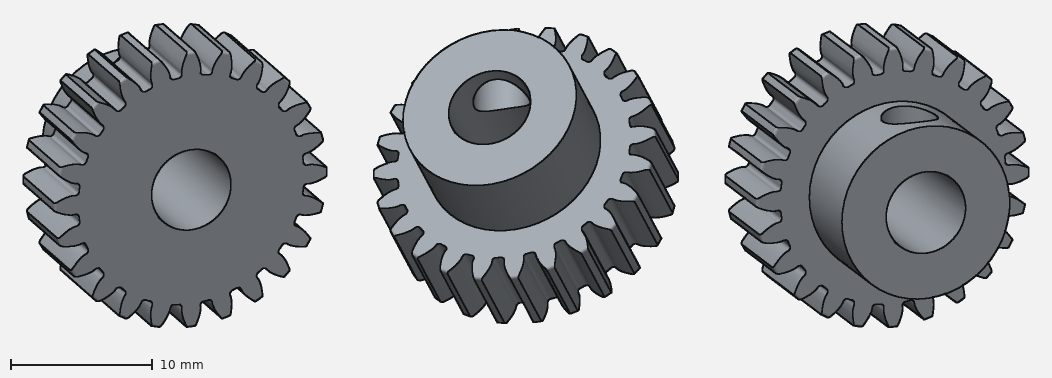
import cadquery as cq
import math


outside_diameter = 20.65
tooth_count = 24
pressure_angle = math.radians(20)
dedendum_factor = 1.25
total_length = 12.7
hub_diameter = 12.7
bore_diameter = 6.0
cross_hole_diameter = 4.02
tip_fillet = 0.2
root_fillet = 0.27
flank_steps = 6

module = outside_diameter / (tooth_count + 2)
tip_radius = outside_diameter / 2
pitch_radius = module * tooth_count / 2
base_radius = pitch_radius * math.cos(pressure_angle)
root_radius = pitch_radius - dedendum_factor * module
tooth_step = 2 * math.pi / tooth_count

hub_length = total_length / 2
face_width = total_length - hub_length

base_half_angle = math.pi / (2 * tooth_count) + math.tan(pressure_angle) - pressure_angle
tip_roll = math.sqrt((tip_radius / base_radius) ** 2 - 1)


def polar(radius, angle):
    return radius * math.cos(angle), radius * math.sin(angle)


def flank_point(roll):
    """Point on the involute flank of the tooth centred on the Y axis."""
    return polar(base_radius * math.hypot(1, roll), base_half_angle - roll + math.atan(roll))


def flank_direction(roll):
    """Unit tangent of that flank, pointing outward."""
    return polar(1, base_half_angle - roll)


def tooth_gap():
    """Prism filling one gap, with radial flanks below the base circle and a rounded root."""
    rolls = [tip_roll * i / flank_steps for i in range(flank_steps + 1)]
    flank = [flank_point(roll) for roll in rolls]
    tip_half_angle = math.atan2(flank[-1][1], flank[-1][0])
    clear_radius = tip_radius + module

    half_gap = (
        cq.Workplane("YZ")
        .moveTo(*polar(root_radius, base_half_angle))
        .lineTo(*flank[0])
        .spline(flank[1:], tangents=[flank_direction(0), flank_direction(tip_roll)], includeCurrent=True)
        .lineTo(*polar(clear_radius, tip_half_angle))
        .lineTo(*polar(clear_radius, tooth_step / 2))
        .lineTo(*polar(root_radius, tooth_step / 2))
        .threePointArc(
            polar(root_radius, (tooth_step / 2 + base_half_angle) / 2),
            polar(root_radius, base_half_angle),
        )
        .close()
        .extrude(face_width)
        .rotate((0, 0, 0), (1, 0, 0), -math.degrees(tooth_step / 2))
    )
    gap = half_gap.union(half_gap.mirror("XY"))
    root_edges = gap.edges("|X").filter(
        lambda edge: math.hypot(edge.Center().y, edge.Center().z) < (root_radius + base_radius) / 2
    )
    return root_edges.fillet(root_fillet)


def toothed_wheel():
    blank = cq.Workplane("YZ").circle(tip_radius).extrude(face_width).edges().fillet(tip_fillet)
    gap = tooth_gap()
    gaps = [
        gap.rotate((0, 0, 0), (1, 0, 0), math.degrees(tooth_step * (i + 0.5))).val()
        for i in range(tooth_count)
    ]
    return cq.Workplane(obj=blank.val().cut(*gaps))


def hub():
    return cq.Workplane("YZ").circle(hub_diameter / 2).extrude(-hub_length)


def bore():
    return cq.Workplane("YZ", origin=(-hub_length, 0, 0)).circle(bore_diameter / 2).extrude(total_length)


def cross_hole():
    """Set-screw hole from the top of the hub into the bore."""
    return (
        cq.Workplane("XY", origin=(-hub_length / 2, 0, 0))
        .circle(cross_hole_diameter / 2)
        .extrude(hub_diameter)
    )


result = toothed_wheel().union(hub()).cut(bore()).cut(cross_hole())